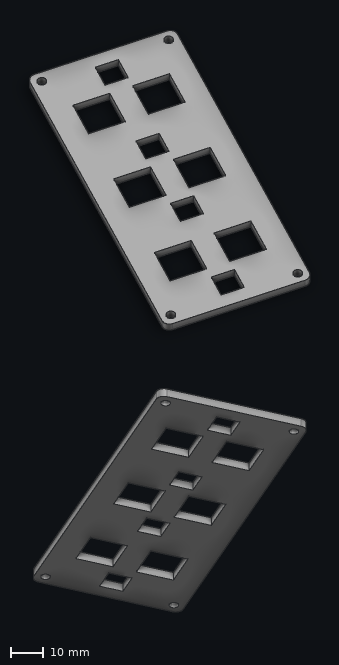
import cadquery as cq

length = 110.0
width = 50.0
thickness = 3.0
corner_radius = 2.5

hole_diameter = 3.0
hole_edge_distance = 3.5

large_window = 12.4
column_pitch = 32.5
row_pitch = 20.2

small_window = 7.8
inner_pair_spacing = 27.5
outer_pair_spacing = 92.5


def cut_windows(plate, centres, size):
    """Cut a square through window at each centre."""
    return plate.faces(">Z").workplane(origin=(0, 0, 0)).pushPoints(centres).rect(size, size).cutThruAll()


plate = cq.Workplane("XY").box(length, width, thickness)
plate = plate.edges("|Z").fillet(corner_radius)

hole_span_x = length - 2 * hole_edge_distance
hole_span_y = width - 2 * hole_edge_distance
plate = (
    plate.faces(">Z")
    .workplane(origin=(0, 0, 0))
    .rect(hole_span_x, hole_span_y, forConstruction=True)
    .vertices()
    .hole(hole_diameter)
)

large_centres = [
    (column * column_pitch, row * row_pitch / 2)
    for column in (-1, 0, 1)
    for row in (-1, 1)
]
plate = cut_windows(plate, large_centres, large_window)

small_centres = [
    (side * spacing / 2, 0)
    for spacing in (inner_pair_spacing, outer_pair_spacing)
    for side in (-1, 1)
]
plate = cut_windows(plate, small_centres, small_window)

result = plate